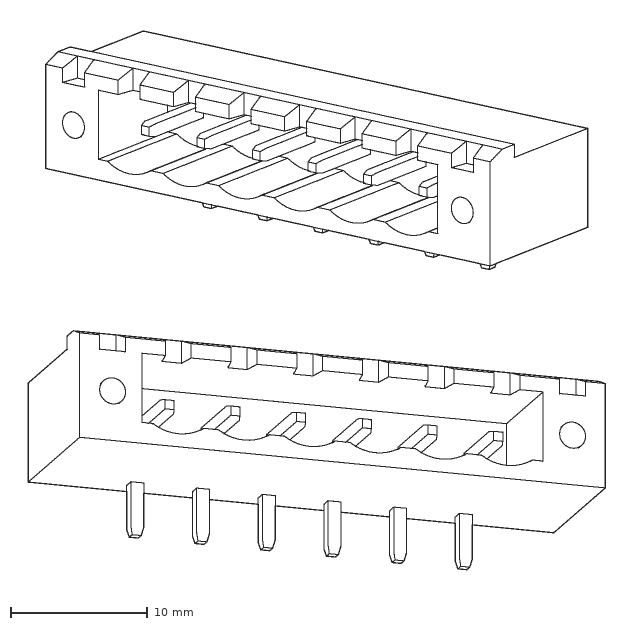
import cadquery as cq


PITCH = 5.08
PIN_COUNT = 6
PIN_POSITIONS = [(i - (PIN_COUNT - 1) / 2) * PITCH for i in range(PIN_COUNT)]
FLANGE_OFFSET = (PIN_COUNT + 1) / 2 * PITCH
FLANGE_POSITIONS = [-FLANGE_OFFSET, FLANGE_OFFSET]

HOUSING_LENGTH = (PIN_COUNT + 2) * PITCH
HOUSING_DEPTH = 12.0
ROOF_HEIGHT = 7.6
LIP_HEIGHT = 8.6
LIP_DEPTH = 3.0
LIP_SLOPE_DEPTH = 1.5
LIP_SLOPE_DROP = 0.6

CAVITY_LENGTH = 31.0
CAVITY_DEPTH = 8.5
CAVITY_CEILING = 6.9
CAVITY_FLOOR = 1.6
SCALLOP_DEPTH = 0.6
SCALLOP_WIDTH = 3.93

SLOT_FRONT_WIDTH = 2.0
SLOT_BACK_WIDTH = 1.5
SLOT_DEPTH = LIP_SLOPE_DEPTH

SCREW_HOLE_DIAMETER = 2.0
SCREW_HOLE_DEPTH = 8.0

PIN_WIDTH = 1.0
PIN_TIP_WIDTH = 0.7
PIN_TIP_LENGTH = 0.6
PIN_AXIS_HEIGHT = 3.8
PIN_FRONT = 2.0
PIN_LEG_Y = HOUSING_DEPTH - 2.0
PIN_LEG_LENGTH = 4.0


def make_housing():
    """Solid block whose raised front lip slopes down to the mating face."""
    profile = [
        (0, 0),
        (HOUSING_DEPTH, 0),
        (HOUSING_DEPTH, ROOF_HEIGHT),
        (LIP_DEPTH, ROOF_HEIGHT),
        (LIP_DEPTH, LIP_HEIGHT),
        (LIP_SLOPE_DEPTH, LIP_HEIGHT),
        (0, LIP_HEIGHT - LIP_SLOPE_DROP),
    ]
    return cq.Workplane("YZ").polyline(profile).close().extrude(HOUSING_LENGTH / 2, both=True)


def make_cavity():
    """Socket opening with one shallow arc in its floor below each pin."""
    half_length = CAVITY_LENGTH / 2
    outline = cq.Workplane("XZ").moveTo(-half_length, CAVITY_CEILING).lineTo(-half_length, CAVITY_FLOOR)
    for x in PIN_POSITIONS:
        outline = outline.lineTo(x - SCALLOP_WIDTH / 2, CAVITY_FLOOR).threePointArc(
            (x, CAVITY_FLOOR - SCALLOP_DEPTH),
            (x + SCALLOP_WIDTH / 2, CAVITY_FLOOR),
        )
    outline = outline.lineTo(half_length, CAVITY_FLOOR).lineTo(half_length, CAVITY_CEILING).close()
    return outline.extrude(-CAVITY_DEPTH)


def make_slot(x):
    """Notch through the lip, wider at the mating face than at its back wall."""
    outline = [
        (x - SLOT_FRONT_WIDTH / 2, 0),
        (x + SLOT_FRONT_WIDTH / 2, 0),
        (x + SLOT_BACK_WIDTH / 2, SLOT_DEPTH),
        (x - SLOT_BACK_WIDTH / 2, SLOT_DEPTH),
    ]
    slot = cq.Workplane("XY").workplane(offset=CAVITY_CEILING).polyline(outline).close()
    return slot.extrude(LIP_HEIGHT - CAVITY_CEILING)


def make_screw_hole(x):
    """Blind round hole entering a flange from the mating face."""
    hole = cq.Workplane("XZ").center(x, PIN_AXIS_HEIGHT).circle(SCREW_HOLE_DIAMETER / 2)
    return hole.extrude(-SCREW_HOLE_DEPTH)


def make_bar(length):
    """Square bar along +Z that starts at the origin and ends in a tapered tip."""
    shank_length = length - PIN_TIP_LENGTH
    shank = cq.Workplane("XY").rect(PIN_WIDTH, PIN_WIDTH).extrude(shank_length)
    tip = (
        cq.Workplane("XY")
        .workplane(offset=shank_length)
        .rect(PIN_WIDTH, PIN_WIDTH)
        .workplane(offset=PIN_TIP_LENGTH)
        .rect(PIN_TIP_WIDTH, PIN_TIP_WIDTH)
        .loft(ruled=True)
    )
    return shank.union(tip)


def make_pin(x):
    """Right-angle pin: a contact toward the mating face and a solder leg below."""
    half_width = PIN_WIDTH / 2
    contact = (
        make_bar(PIN_LEG_Y + half_width - PIN_FRONT)
        .rotate((0, 0, 0), (1, 0, 0), 90)
        .translate((x, PIN_LEG_Y + half_width, PIN_AXIS_HEIGHT))
    )
    leg = (
        make_bar(PIN_AXIS_HEIGHT + half_width + PIN_LEG_LENGTH)
        .rotate((0, 0, 0), (1, 0, 0), 180)
        .translate((x, PIN_LEG_Y, PIN_AXIS_HEIGHT + half_width))
    )
    return contact.union(leg)


result = make_housing().cut(make_cavity())

for position in PIN_POSITIONS + FLANGE_POSITIONS:
    result = result.cut(make_slot(position))

for position in FLANGE_POSITIONS:
    result = result.cut(make_screw_hole(position))

for position in PIN_POSITIONS:
    result = result.union(make_pin(position))